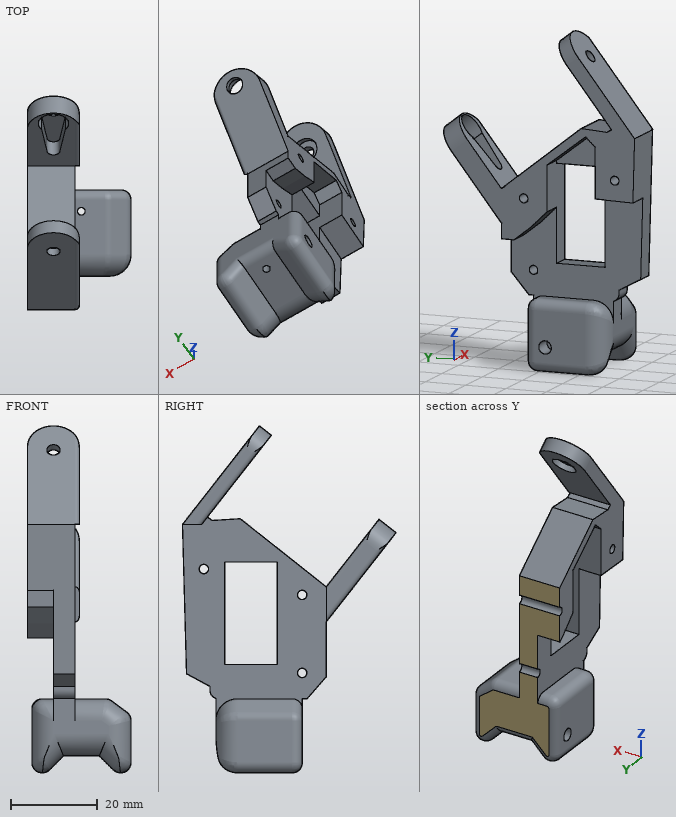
import cadquery as cq
import math

DEPTH = 49.17
HEIGHT = 79.84
FOOT_RIGHT = 23.85
CUT_MARGIN = 1.0

ARM_WIDTH = 12.0
ARM_EDGE_RADIUS = 1.0
ARM_ANGLE = math.radians(52.0)
FORK_DEPTH = 39.9
FRONT_ARM_THICKNESS = 3.5
REAR_ARM_THICKNESS = 5.0
FRONT_PIVOT_FROM_TIP = 7.0
FRONT_PIVOT_DIAMETER = 3.0
FRONT_PIVOT_LENGTH = 2.0
FRONT_COUNTERBORE_DIAMETER = 6.0
REAR_PIVOT_FROM_TIP = 3.9
REAR_PIVOT_DIAMETER = 4.0
HORN_HUB_RADIUS = 3.5
HORN_ROOT_HALF_WIDTH = 3.05
HORN_END_RADIUS = 1.5
HORN_LENGTH = 10.2
HORN_RECESS_DEPTH = 3.8

ALONG_Y, ALONG_Z = math.cos(ARM_ANGLE), math.sin(ARM_ANGLE)
FRONT_ARM_LENGTH = (DEPTH - FORK_DEPTH * ALONG_Z) / ALONG_Y
FORK_CORNER_Z = HEIGHT - FRONT_ARM_LENGTH * ALONG_Z

PAD_THICKNESS = 6.0
PLATE_RIGHT = 11.0
BACK_Y = 33.1
SCREW_DIAMETER = 2.1
REAR_SCREW_Y = 27.56
SCREWS = [(4.94, 46.9), (REAR_SCREW_Y, 40.95), (REAR_SCREW_Y, 23.0)]
WINDOW_FRONT, WINDOW_BACK = 9.8, 21.8
WINDOW_BOTTOM, WINDOW_TOP = 25.0, 48.5
RIDGE = (13.3, 58.5)
NOTCH = (6.86, 58.1)
FRONT_ARM_HEEL = 4.9
SHOULDER = (0.93, 22.8)
WAIST = (6.31, 19.9)
WAIST_RADIUS = 2.0
HEEL_Y, HEEL_TOP = 28.7, 22.1
PAD_FRONT_BOTTOM = 42.0
PAD_WINDOW_BOTTOM = 42.2
PAD_ROOF = [(WINDOW_FRONT, 54.4), (12.2, 56.6), (WINDOW_BACK, 49.2)]
PAD_BACK_STEPS = [(WINDOW_BACK, 38.2), (25.8, 34.3), (30.0, 31.0), (BACK_Y, 31.0)]

FOOT_LEFT = 1.0
FOOT_FRONT, FOOT_BACK = 7.7, 27.6
FOOT_TOP = 17.05
FOOT_ROUND = 2.4
FOOT_FRONT_ROUND = 5.0
LEG_FLAT = 0.02
FOOT_BACK_ROUND = 2.35
NOTCH_HEIGHT = 3.9
FOOT_CHAMFER_X, FOOT_CHAMFER_Z = 5.1, 3.8
CORD_X, CORD_Y, CORD_Z = 12.4, 22.65, 6.1
CORD_DIAMETER = 1.7
SOCKET_DIAMETER = 3.1
SOCKET_DEPTH = 5.0


def fork_point(depth, distance):
    """Point (Y, Z) at a depth behind the front arm's outer face and a distance up the arm."""
    return (
        depth * ALONG_Z + distance * ALONG_Y,
        FORK_CORNER_Z - depth * ALONG_Y + distance * ALONG_Z,
    )


def at_height(depth, z):
    """Point (Y, Z) where the fork line at this depth reaches a height."""
    return fork_point(depth, (z - FORK_CORNER_Z + depth * ALONG_Y) / ALONG_Z)


def at_y(depth, y):
    """Point (Y, Z) where the fork line at this depth reaches a Y position."""
    return fork_point(depth, (y - depth * ALONG_Z) / ALONG_Y)


def slab(outline, left, right):
    """Prism of a (Y, Z) outline between two X positions."""
    return cq.Workplane("YZ", origin=(left, 0, 0)).polyline(outline).close().extrude(right - left)


def tip_plane(depth):
    """Plane on an arm face: origin at the tip's middle, local y along the arm, normal outward-front."""
    y, z = fork_point(depth, FRONT_ARM_LENGTH)
    return cq.Plane(origin=(ARM_WIDTH / 2, y, z), xDir=(1, 0, 0), normal=(0, -ALONG_Z, ALONG_Y))


def arm(depth, thickness, base):
    """Arm with two rounded edges and a half-round tip; base is its (outer, inner) lower end."""
    tips = [fork_point(depth + thickness, FRONT_ARM_LENGTH), fork_point(depth, FRONT_ARM_LENGTH)]
    bar = slab(base + tips, 0, ARM_WIDTH)
    for near, far in ((base[0], tips[1]), (base[1], tips[0])):
        middle = (ARM_WIDTH, (near[0] + far[0]) / 2, (near[1] + far[1]) / 2)
        bar = bar.edges(cq.NearestToPointSelector(middle)).fillet(ARM_EDGE_RADIUS)
    radius = ARM_WIDTH / 2
    tip = (
        cq.Workplane(tip_plane(depth))
        .moveTo(-radius, -DEPTH)
        .lineTo(-radius, -radius)
        .threePointArc((0, 0), (radius, -radius))
        .lineTo(radius, -DEPTH)
        .close()
        .extrude(-thickness)
    )
    return bar.intersect(tip)


def arm_hole(depth, from_tip, diameter, length):
    """Round cutter that enters an arm at a fork depth and runs towards the back."""
    return cq.Workplane(tip_plane(depth)).center(0, -from_tip).circle(diameter / 2).extrude(-length)


def front_arm():
    base = [at_height(0, FORK_CORNER_Z), at_height(FRONT_ARM_THICKNESS, FORK_CORNER_Z)]
    hole = arm_hole(0, FRONT_PIVOT_FROM_TIP, FRONT_PIVOT_DIAMETER, FRONT_PIVOT_LENGTH)
    counterbore = arm_hole(
        FRONT_PIVOT_LENGTH,
        FRONT_PIVOT_FROM_TIP,
        FRONT_COUNTERBORE_DIAMETER,
        FRONT_ARM_THICKNESS - FRONT_PIVOT_LENGTH,
    )
    return arm(0, FRONT_ARM_THICKNESS, base).cut(hole).cut(counterbore)


def horn_recess(depth):
    """Hub circle with a blade that narrows to a rounded end."""
    hub = arm_hole(depth, REAR_PIVOT_FROM_TIP, 2 * HORN_HUB_RADIUS, HORN_RECESS_DEPTH)
    blade = (
        cq.Workplane(tip_plane(depth))
        .center(0, -REAR_PIVOT_FROM_TIP)
        .moveTo(-HORN_ROOT_HALF_WIDTH, 0)
        .lineTo(HORN_ROOT_HALF_WIDTH, 0)
        .lineTo(HORN_END_RADIUS, -HORN_LENGTH)
        .threePointArc((0, -HORN_LENGTH - HORN_END_RADIUS), (-HORN_END_RADIUS, -HORN_LENGTH))
        .close()
        .extrude(-HORN_RECESS_DEPTH)
    )
    return hub.union(blade)


def rear_arm():
    inner = FORK_DEPTH - REAR_ARM_THICKNESS
    base = [at_y(inner, BACK_Y), at_y(FORK_DEPTH, BACK_Y)]
    hole = arm_hole(inner, REAR_PIVOT_FROM_TIP, REAR_PIVOT_DIAMETER, REAR_ARM_THICKNESS)
    return arm(inner, REAR_ARM_THICKNESS, base).cut(hole).cut(horn_recess(inner))


def upper_outline():
    """Frame outline from the rear arm's root over the ridge to the front corner."""
    return [
        at_y(FORK_DEPTH - REAR_ARM_THICKNESS, BACK_Y),
        RIDGE,
        NOTCH,
        fork_point(FRONT_ARM_THICKNESS, FRONT_ARM_HEEL),
        (0, FORK_CORNER_Z),
    ]


def plate():
    """Thin layer of the frame, with a core that runs down into the foot."""
    waist_corner = (WAIST[0], FOOT_TOP)
    lower = [SHOULDER, WAIST, waist_corner, (HEEL_Y, FOOT_TOP), (BACK_Y, HEEL_TOP)]
    body = slab(upper_outline() + lower, PAD_THICKNESS, PLATE_RIGHT)
    waist_edge = ((PAD_THICKNESS + PLATE_RIGHT) / 2, *waist_corner)
    body = body.edges(cq.NearestToPointSelector(waist_edge)).fillet(WAIST_RADIUS)
    core_bottom = FOOT_TOP - FOOT_FRONT_ROUND
    core_top = FOOT_TOP + WAIST_RADIUS / 2
    core = slab(
        [
            (FOOT_FRONT, core_bottom),
            (FOOT_FRONT, core_top),
            (FOOT_BACK, core_top),
            (FOOT_BACK, core_bottom),
        ],
        PAD_THICKNESS,
        PLATE_RIGHT,
    )
    return body.union(core)


def pad():
    """Thick layer of the frame, open below so that it straddles the servo."""
    front_fall = (FORK_CORNER_Z - PAD_FRONT_BOTTOM) / (FORK_CORNER_Z - SHOULDER[1])
    lower = [
        (SHOULDER[0] * front_fall, PAD_FRONT_BOTTOM),
        (WINDOW_FRONT, PAD_WINDOW_BOTTOM),
    ]
    outline = upper_outline() + lower + PAD_ROOF + PAD_BACK_STEPS
    return slab(outline, 0, PAD_THICKNESS)


def frame_cuts():
    window = slab(
        [
            (WINDOW_FRONT, WINDOW_BOTTOM),
            (WINDOW_BACK, WINDOW_BOTTOM),
            (WINDOW_BACK, WINDOW_TOP),
            (WINDOW_FRONT, WINDOW_TOP),
        ],
        PAD_THICKNESS,
        PLATE_RIGHT,
    )
    screws = cq.Workplane("YZ").pushPoints(SCREWS).circle(SCREW_DIAMETER / 2).extrude(PLATE_RIGHT)
    return window.union(screws)


def foot_outline():
    """Sharp corners (X, Z) of the foot, clockwise with Z up and X to the right."""
    leg_width = FOOT_ROUND * math.sqrt(2) + LEG_FLAT
    notch_inset = leg_width + NOTCH_HEIGHT
    return [
        (FOOT_LEFT, 0),
        (FOOT_LEFT, FOOT_TOP),
        (FOOT_RIGHT - FOOT_CHAMFER_X, FOOT_TOP),
        (FOOT_RIGHT, FOOT_TOP - FOOT_CHAMFER_Z),
        (FOOT_RIGHT, 0),
        (FOOT_RIGHT - leg_width, 0),
        (FOOT_RIGHT - notch_inset, NOTCH_HEIGHT),
        (FOOT_LEFT + notch_inset, NOTCH_HEIGHT),
        (FOOT_LEFT + leg_width, 0),
    ]


def foot_prism():
    return (
        cq.Workplane("XZ", origin=(0, FOOT_FRONT, 0))
        .polyline(foot_outline())
        .close()
        .extrude(FOOT_FRONT - FOOT_BACK)
    )


def unit(start, end):
    length = math.dist(start, end)
    return ((end[0] - start[0]) / length, (end[1] - start[1]) / length)


def front_round_cutter(before, start, end, after):
    """Bar that rounds the front edge along one side, mitred where the outline turns inward."""
    reach = FOOT_FRONT_ROUND
    along = unit(start, end)
    inward = (along[1], -along[0])

    def offset(point, forward, sideways):
        return tuple(p + forward * a + sideways * i for p, a, i in zip(point, along, inward))

    def corner(point, previous, following, direction):
        """Outer and inner limit of the bar at one end of the side."""
        turn = previous[0] * following[1] - previous[1] * following[0]
        if turn < 0:
            return [offset(point, direction * reach, -CUT_MARGIN), offset(point, direction * reach, reach)]
        slope = direction * math.tan(math.asin(turn) / 2)
        return [offset(point, -slope * CUT_MARGIN, -CUT_MARGIN), offset(point, slope * reach, reach)]

    first = corner(start, unit(before, start), along, -1)
    last = corner(end, along, unit(end, after), 1)
    limits = (
        cq.Workplane("XZ", origin=(0, FOOT_FRONT - CUT_MARGIN, 0))
        .polyline(first + last[::-1])
        .close()
        .extrude(-CUT_MARGIN - reach)
    )
    origin = offset(start, -2 * reach, 0)
    section = cq.Plane(
        origin=(origin[0], FOOT_FRONT, origin[1]),
        xDir=(inward[0], 0, inward[1]),
        normal=(along[0], 0, along[1]),
    )
    arc_middle = reach * (1 - math.sqrt(0.5))
    bar = (
        cq.Workplane(section)
        .moveTo(-CUT_MARGIN, -CUT_MARGIN)
        .lineTo(reach, -CUT_MARGIN)
        .lineTo(reach, 0)
        .threePointArc((arc_middle, arc_middle), (0, reach))
        .lineTo(-CUT_MARGIN, reach)
        .close()
        .extrude(math.dist(start, end) + 4 * reach)
    )
    return bar.intersect(limits)


def foot():
    body = foot_prism()
    corners = foot_outline()
    for i in range(len(corners)):
        before, start, end, after = (corners[(i + step) % len(corners)] for step in (-1, 0, 1, 2))
        body = body.cut(front_round_cutter(before, start, end, after))
    sharp = [edge for edge in body.edges("|Y").vals() if not math.isclose(edge.Center().z, NOTCH_HEIGHT)]
    body = body.newObject(sharp).fillet(FOOT_ROUND)
    return body.faces(">Y").edges().fillet(FOOT_BACK_ROUND)


def cord_holes():
    vertical = cq.Workplane("XY").center(CORD_X, CORD_Y).circle(CORD_DIAMETER / 2).extrude(FOOT_TOP)
    socket = (
        cq.Workplane("YZ", origin=(FOOT_LEFT, 0, 0))
        .center(CORD_Y, CORD_Z)
        .circle(SOCKET_DIAMETER / 2)
        .extrude(SOCKET_DEPTH)
    )
    return vertical.union(socket)


result = (
    plate()
    .union(pad())
    .cut(frame_cuts())
    .union(front_arm())
    .union(rear_arm())
    .union(foot())
    .cut(cord_holes())
    .clean()
)